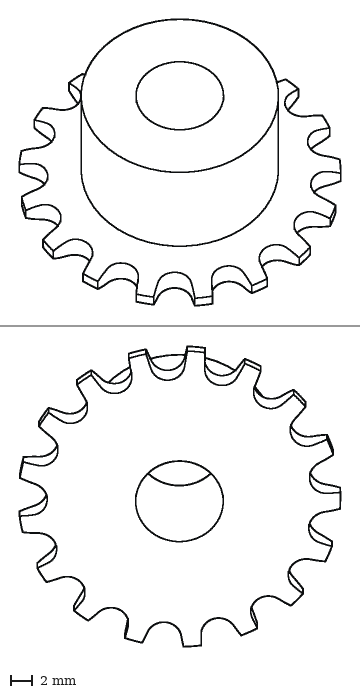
import cadquery as cq
import math

tooth_count = 17
overall_width = 29.38
tip_half_angle = 3.2
pitch_radius = 13.65
seat_radius = 1.6
plate_thickness = 2.3
rim_start_radius = 12.35
tip_thickness = 1.12
hub_diameter = 18.0
bore_diameter = 8.0
total_height = 13.0

tooth_step = 360 / tooth_count
first_gap_angle = 90 + tooth_step / 2
side_tooth_offset = abs(90 - round(90 / tooth_step) * tooth_step)
corner_angle = math.radians(side_tooth_offset - tip_half_angle)
tip_radius = overall_width / 2 / math.cos(corner_angle)
rim_width = tip_radius - rim_start_radius
rim_drop = (plate_thickness - tip_thickness) / 2
rim_arc_radius = (rim_width**2 + rim_drop**2) / (2 * rim_drop)
gap_end = tip_radius + seat_radius
cut_overlap = 0.3


def make_blank():
    """Turned disc whose two faces curve toward a thinner rim."""
    half_arc = math.asin(rim_width / rim_arc_radius) / 2
    mid_radius = rim_start_radius + rim_arc_radius * math.sin(half_arc)
    mid_drop = rim_arc_radius * (1 - math.cos(half_arc))
    return (
        cq.Workplane("XZ")
        .lineTo(rim_start_radius, 0)
        .threePointArc((mid_radius, mid_drop), (tip_radius, rim_drop))
        .lineTo(tip_radius, plate_thickness - rim_drop)
        .threePointArc(
            (mid_radius, plate_thickness - mid_drop),
            (rim_start_radius, plate_thickness),
        )
        .lineTo(0, plate_thickness)
        .close()
        .revolve(360, (0, 0, 0), (0, 1, 0))
    )


def make_gap():
    """Cutter for one tooth gap along +X: round seat with tangent flanks opening outward."""
    mouth_angle = math.radians(tooth_step / 2 - tip_half_angle)
    mouth_x = tip_radius * math.cos(mouth_angle) - pitch_radius
    mouth_y = tip_radius * math.sin(mouth_angle)
    tilt = math.atan2(mouth_y, mouth_x) - math.asin(seat_radius / math.hypot(mouth_x, mouth_y))
    tangent_x = pitch_radius - seat_radius * math.sin(tilt)
    tangent_y = seat_radius * math.cos(tilt)
    end_y = tangent_y + (gap_end - tangent_x) * math.tan(tilt)
    return (
        cq.Workplane("XY", origin=(0, 0, -cut_overlap))
        .moveTo(gap_end, -end_y)
        .lineTo(tangent_x, -tangent_y)
        .threePointArc((pitch_radius - seat_radius, 0), (tangent_x, tangent_y))
        .lineTo(gap_end, end_y)
        .close()
        .extrude(plate_thickness + 2 * cut_overlap)
    )


result = make_blank()
gap = make_gap()
for index in range(tooth_count):
    gap_angle = first_gap_angle + index * tooth_step
    result = result.cut(gap.rotate((0, 0, 0), (0, 0, 1), gap_angle))

hub = cq.Workplane("XY").circle(hub_diameter / 2).extrude(total_height)
bore = cq.Workplane("XY").circle(bore_diameter / 2).extrude(total_height)
result = result.union(hub).cut(bore)